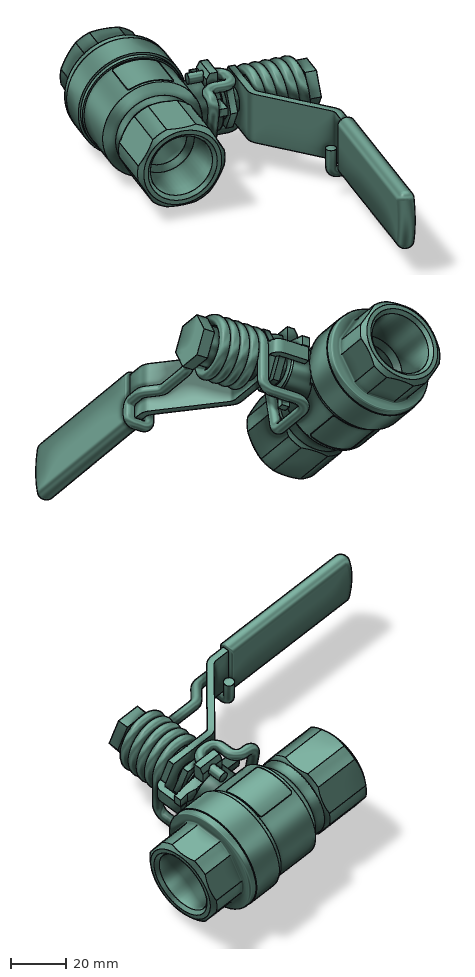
import cadquery as cq
import math


LENGTH = 150.0
HEIGHT = 88.0
FLANGE_DIA = 42.0

LEFT_END = -40.0
RIGHT_END = 40.5
FLANGE_LEFT = -25.0
RIM_END = -22.2
FLANGE_RIGHT = -10.2
COLLAR_END = -8.4
CONE_START = 10.2
CONE_END = 13.8
RIGHT_HEX_START = 18.6

RIM_DIA = 41.7
RIM_STEP = 0.3
RIM_FILLET = 0.9
COLLAR_DIA = 40.2
BODY_DIA = 38.8
NECK_DIA = 31.5

HEX_FLATS = 32.1
HEX_CORNER_DIA = 34.0
HEX_END_DIA = 30.3
HEX_CHAMFER = 1.5
HEX_ROOT_FILLET = 0.9

BORE_DIA = 20.0
THREAD_DIA = 24.2
THREAD_DEPTH = 19.5
MOUTH_DIA = 26.8

PAD_LEFT = -7.6
PAD_RIGHT = 9.0
PAD_WIDTH = 18.0
PAD_DIA = 39.3
PAD_CORNER = 1.0

BOSS_DIA = 20.0
BOSS_TOP = 28.2
BOSS_CHAMFER = 0.6
BOSS_ROOT_FILLET = 0.9
GLAND_DIA = 12.8
GLAND_NUT_BOTTOM = 30.6
GLAND_NUT_TOP = 33.3
STEM_DIA = 9.5
SLEEVE_DIA = 15.0
HEAD_BOTTOM = 61.4
HEAD_TOP = 65.8
NUT_FLATS = 17.0

STOP_TOP = 27.3
STOP_BOTTOM = 23.0
STOP_TIP_BOTTOM = 24.2
STOP_REACH = 15.3
STOP_TAPER_START = 8.2
STOP_TAPER_END = 11.7
STOP_TIP_CHAMFER = 1.6
STOP_LEFT_EDGE = 6.6
STOP_RIGHT_EDGE = 6.0
STOP_ROOT_EDGE = 8.8
LUG_WIDTH = 10.0
LUG_REACH = 15.6
LUG_BEVEL_REACH = 2.2
LUG_BEVEL_HEIGHT = 1.4
BACK_LUG_WIDTH = 3.0
WIRE_HOLE_DIA = 4.2

PLATE_THICKNESS = 2.7
PLATE_WIDTH = 20.1
PLATE_BOTTOM = 36.0
TAB_BEND = 2.7
RAMP_BEND = 4.5
TAB_OUTSIDE = -14.8
TAB_WIDTH = 5.7
TAB_END = 24.3
SHOULDER_START = -11.0
SHOULDER_END = -6.9
RAMP_START = 14.1
GRIP_AXIS = 61.2
GRIP_LEFT = 46.0
GRIP_RIGHT = LEFT_END + LENGTH
GRIP_WIDTH = 23.4
GRIP_THICKNESS = 6.6
GRIP_EDGE = 3.2
GRIP_BULGE = 2.0
GRIP_MOUTH_FILLET = 0.9

WIRE_DIA = 4.0
COIL_RADIUS = 10.0
COIL_BOTTOM = 40.8
COIL_TOP = 59.2
COIL_TURNS = 4.5
WIRE_BEND = 4.0
LEAD_BEND = 6.8
WRAP_BEND = 2.5
LEAD_DEPTH = -17.1
LEAD_BOTTOM = 20.4
LEAD_CORNER_X = 13.5
LATCH_FAR_X = 19.8
LATCH_X = 9.8
LATCH_Z = 12.2
LATCH_TOP = 31.6
LATCH_END = 17.4
JOG_START = 28.8
WRAP_X = 43.0
WRAP_Z = -12.2
WRAP_BOTTOM = 56.7
WRAP_END_Z = -2.1

SHORTEST_EDGE = 0.002


def cylinder_x(x_start, x_end, dia):
    return cq.Workplane("YZ").workplane(offset=x_start).circle(dia / 2).extrude(x_end - x_start)


def at_height(y):
    """Workplane across the stem, facing +Y."""
    return cq.Workplane("XZ", origin=(0, y, 0)).transformed(rotate=(180, 0, 0))


def cylinder_y(y_start, y_end, dia):
    return at_height(y_start).circle(dia / 2).extrude(y_end - y_start)


def across_corners(flats):
    return flats / math.cos(math.pi / 6)


def hexagon_y(y_start, y_end, flats):
    return at_height(y_start).polygon(6, across_corners(flats)).extrude(y_end - y_start)


def rounded_path(points, radii):
    """Wire through the points, with each inner corner rounded by its radius."""
    corners = [cq.Vector(*point) for point in points]
    edges = []
    start = corners[0]
    for before, corner, after, radius in zip(corners, corners[1:], corners[2:], radii):
        back = (before - corner).normalized()
        ahead = (after - corner).normalized()
        half_angle = back.getAngle(ahead) / 2
        setback = radius / math.tan(half_angle)
        middle_gap = radius / math.sin(half_angle) - radius
        arc_start = corner + back * setback
        arc_middle = corner + (back + ahead).normalized() * middle_gap
        arc_end = corner + ahead * setback
        if (arc_start - start).Length > SHORTEST_EDGE:
            edges.append(cq.Edge.makeLine(start, arc_start))
        edges.append(cq.Edge.makeThreePointArc(arc_start, arc_middle, arc_end))
        start = arc_end
    edges.append(cq.Edge.makeLine(start, corners[-1]))
    return cq.Wire.assembleEdges(edges)


def wrench_hex(x_start, x_end, chamfer_start, chamfer_end):
    """Hexagon with its corners turned round and its ends chamfered where asked."""
    hexagon = (
        cq.Workplane("YZ")
        .workplane(offset=x_start)
        .polygon(6, across_corners(HEX_FLATS))
        .extrude(x_end - x_start)
    )
    outer = HEX_CORNER_DIA / 2
    end = HEX_END_DIA / 2
    outline = [(x_start, 0)]
    if chamfer_start:
        outline += [(x_start, end), (x_start + HEX_CHAMFER, outer)]
    else:
        outline += [(x_start, outer)]
    if chamfer_end:
        outline += [(x_end - HEX_CHAMFER, outer), (x_end, end)]
    else:
        outline += [(x_end, outer)]
    outline += [(x_end, 0)]
    turned = cq.Workplane("XY").polyline(outline).close().revolve(360, (0, 0, 0), (1, 0, 0))
    return hexagon.intersect(turned)


def body_barrel():
    """Turned middle of the body, from the flange to the neck."""
    flange_r = FLANGE_DIA / 2
    rim_r = RIM_DIA / 2
    collar_r = COLLAR_DIA / 2
    body_r = BODY_DIA / 2
    neck_r = NECK_DIA / 2
    barrel = (
        cq.Workplane("XY")
        .polyline([
            (FLANGE_LEFT, 0),
            (FLANGE_LEFT, rim_r),
            (RIM_END, rim_r),
            (RIM_END + RIM_STEP, flange_r),
            (FLANGE_RIGHT, flange_r),
            (FLANGE_RIGHT, collar_r),
            (COLLAR_END, collar_r),
            (COLLAR_END, body_r),
            (CONE_START, body_r),
            (CONE_END, neck_r),
            (RIGHT_HEX_START, neck_r),
            (RIGHT_HEX_START, 0),
        ])
        .close()
        .revolve(360, (0, 0, 0), (1, 0, 0))
    )
    return barrel.faces("<X").edges().fillet(RIM_FILLET)


def marking_pads():
    """Slightly raised curved pads, where a column along Z meets a wider cylinder."""
    length = PAD_RIGHT - PAD_LEFT
    column = (
        cq.Workplane("XY")
        .center(PAD_LEFT + length / 2, 0)
        .rect(length, PAD_WIDTH)
        .extrude(PAD_DIA, both=True)
        .edges("|Z")
        .fillet(PAD_CORNER)
    )
    return column.intersect(cylinder_x(PAD_LEFT, PAD_RIGHT, PAD_DIA))


def bore():
    """Straight bore with a wider threaded stretch and a countersunk mouth at each end."""
    mouth_r = MOUTH_DIA / 2
    thread_r = THREAD_DIA / 2
    bore_r = BORE_DIA / 2
    mouth_depth = mouth_r - thread_r
    cone_depth = thread_r - bore_r
    return (
        cq.Workplane("XY")
        .polyline([
            (LEFT_END, 0),
            (LEFT_END, mouth_r),
            (LEFT_END + mouth_depth, thread_r),
            (LEFT_END + THREAD_DEPTH, thread_r),
            (LEFT_END + THREAD_DEPTH + cone_depth, bore_r),
            (RIGHT_END - THREAD_DEPTH - cone_depth, bore_r),
            (RIGHT_END - THREAD_DEPTH, thread_r),
            (RIGHT_END - mouth_depth, thread_r),
            (RIGHT_END, mouth_r),
            (RIGHT_END, 0),
        ])
        .close()
        .revolve(360, (0, 0, 0), (1, 0, 0))
    )


def filleted_barrel():
    """Barrel with the left hexagon and the stem boss, filleted where each one meets it."""
    hex_r = HEX_CORNER_DIA / 2
    boss_r = BOSS_DIA / 2
    margin = 0.2
    hex_root = cq.selectors.BoxSelector(
        (FLANGE_LEFT - margin, -hex_r, -hex_r),
        (FLANGE_LEFT + margin, hex_r, hex_r),
    )
    boss_root = cq.selectors.BoxSelector(
        (COLLAR_END, 0, -boss_r - margin),
        (boss_r + margin, BODY_DIA / 2, boss_r + margin),
        boundingbox=True,
    )
    left_hex = wrench_hex(LEFT_END, FLANGE_LEFT, True, False)
    boss = cylinder_y(0, BOSS_TOP, BOSS_DIA).faces(">Y").edges().chamfer(BOSS_CHAMFER)
    with_hex = body_barrel().union(left_hex).edges(hex_root).fillet(HEX_ROOT_FILLET)
    return with_hex.union(boss).edges(boss_root).fillet(BOSS_ROOT_FILLET)


def valve_body():
    right_hex = wrench_hex(RIGHT_HEX_START, RIGHT_END, True, True)
    return filleted_barrel().union(right_hex).union(marking_pads()).cut(bore())


def stem():
    gland = cylinder_y(BOSS_TOP, GLAND_NUT_BOTTOM, GLAND_DIA)
    gland_nut = hexagon_y(GLAND_NUT_BOTTOM, GLAND_NUT_TOP, NUT_FLATS)
    shaft = cylinder_y(GLAND_NUT_TOP, PLATE_BOTTOM, STEM_DIA)
    sleeve = cylinder_y(PLATE_BOTTOM, HEAD_BOTTOM, SLEEVE_DIA)
    head = hexagon_y(HEAD_BOTTOM, HEAD_TOP, NUT_FLATS)
    return gland.union(gland_nut).union(shaft).union(sleeve).union(head)


def stop_bar():
    """Bar along X beside the tab, tapered below at its left end and slanted towards the lug."""
    side = (
        cq.Workplane("XY")
        .polyline([
            (-STOP_REACH, STOP_TOP),
            (-STOP_REACH, STOP_TIP_BOTTOM),
            (-STOP_TAPER_END, STOP_TIP_BOTTOM),
            (-STOP_TAPER_START, STOP_BOTTOM),
            (STOP_REACH - STOP_TIP_CHAMFER, STOP_BOTTOM),
            (STOP_REACH, STOP_TIP_BOTTOM),
            (STOP_REACH, STOP_TOP),
        ])
        .close()
        .extrude(STOP_ROOT_EDGE)
    )
    half_tab = TAB_WIDTH / 2
    half_lug = LUG_WIDTH / 2
    plan = (
        cq.Workplane("XZ")
        .polyline([
            (-STOP_REACH, half_tab),
            (-STOP_REACH, STOP_LEFT_EDGE),
            (-half_lug, STOP_ROOT_EDGE),
            (half_lug, STOP_ROOT_EDGE),
            (half_lug, STOP_RIGHT_EDGE),
            (STOP_REACH, STOP_RIGHT_EDGE),
            (STOP_REACH, half_tab),
        ])
        .close()
        .extrude(-STOP_TOP)
    )
    return side.intersect(plan)


def front_lug():
    """Lug on the +Z side, bevelled below its tip and drilled for the spring wire."""
    lug = (
        cq.Workplane("YZ")
        .polyline([
            (STOP_BOTTOM, 0),
            (STOP_BOTTOM, LUG_REACH - LUG_BEVEL_REACH),
            (STOP_BOTTOM + LUG_BEVEL_HEIGHT, LUG_REACH),
            (STOP_TOP, LUG_REACH),
            (STOP_TOP, 0),
        ])
        .close()
        .extrude(LUG_WIDTH / 2, both=True)
    )
    wire_hole = cylinder_y(LATCH_END, LATCH_TOP, WIRE_HOLE_DIA).translate((0, 0, LATCH_Z))
    return lug.cut(wire_hole)


def back_lug():
    """Narrow, thinner lug on the -Z side."""
    thickness = STOP_TOP - STOP_TIP_BOTTOM
    lug = cq.Workplane("XY").box(BACK_LUG_WIDTH, thickness, LUG_REACH, centered=(True, False, False))
    return lug.translate((0, STOP_TIP_BOTTOM, -LUG_REACH))


def handle_plate():
    """Bent strip with a narrow tab at the left, widening over sloped shoulders."""
    tab_x = TAB_OUTSIDE + PLATE_THICKNESS / 2
    plate_y = PLATE_BOTTOM + PLATE_THICKNESS / 2
    ramp_end = RAMP_START + GRIP_AXIS - plate_y
    path = rounded_path(
        [
            (tab_x, TAB_END, 0),
            (tab_x, plate_y, 0),
            (RAMP_START, plate_y, 0),
            (ramp_end, GRIP_AXIS, 0),
            (GRIP_LEFT + GRIP_THICKNESS, GRIP_AXIS, 0),
        ],
        [TAB_BEND, RAMP_BEND, RAMP_BEND],
    )
    strip = (
        cq.Workplane("XZ", origin=(tab_x, TAB_END, 0))
        .rect(PLATE_THICKNESS, PLATE_WIDTH)
        .sweep(cq.Workplane(path))
    )
    half_tab = TAB_WIDTH / 2
    half_width = PLATE_WIDTH / 2
    plan = (
        at_height(0)
        .polyline([
            (TAB_OUTSIDE, -half_tab),
            (SHOULDER_START, -half_tab),
            (SHOULDER_END, -half_width),
            (GRIP_RIGHT, -half_width),
            (GRIP_RIGHT, half_width),
            (SHOULDER_END, half_width),
            (SHOULDER_START, half_tab),
            (TAB_OUTSIDE, half_tab),
        ])
        .close()
        .extrude(HEIGHT)
    )
    return strip.intersect(plan)


def handle_grip():
    """Flat sleeve with rounded long edges and a bulged, rounded end."""
    half_width = GRIP_WIDTH / 2
    corner_x = GRIP_RIGHT - GRIP_BULGE
    outline = (
        at_height(GRIP_AXIS - GRIP_THICKNESS / 2)
        .moveTo(GRIP_LEFT, -half_width)
        .lineTo(corner_x, -half_width)
        .threePointArc((GRIP_RIGHT, 0), (corner_x, half_width))
        .lineTo(GRIP_LEFT, half_width)
        .close()
        .extrude(GRIP_THICKNESS)
    )
    rounded_end = outline.edges("|Y").edges(">X").fillet(GRIP_EDGE)
    rounded = rounded_end.edges("(<Y or >Y) and (not <X)").fillet(GRIP_EDGE)
    return rounded.faces("<X").edges().fillet(GRIP_MOUTH_FILLET)


def valve():
    """Body, stem, stops and handle as one solid."""
    stops = stop_bar().union(front_lug()).union(back_lug())
    handle = handle_plate().union(handle_grip())
    return valve_body().union(stops).union(stem()).union(handle)


def round_wire(points, radii):
    """Round wire bent along the points; its first stretch runs along -Z."""
    return (
        cq.Workplane("XY", origin=points[0])
        .circle(WIRE_DIA / 2)
        .sweep(cq.Workplane(rounded_path(points, radii)))
    )


def coil():
    """Right-handed coil around the stem, from its -X side up to its +X side."""
    rise = COIL_TOP - COIL_BOTTOM
    helix = cq.Wire.makeHelix(rise / COIL_TURNS, rise, COIL_RADIUS)
    upright = (
        cq.Workplane("XZ", origin=(COIL_RADIUS, 0, 0))
        .circle(WIRE_DIA / 2)
        .sweep(cq.Workplane(helix), isFrenet=True)
    )
    along_y = upright.rotate((0, 0, 0), (1, 0, 0), -90)
    return along_y.rotate((0, 0, 0), (0, 1, 0), 180).translate((0, COIL_BOTTOM, 0))


def latch_lead():
    """Lower end of the spring: round the neck, then hooked down into the lug hole."""
    points = [
        (-COIL_RADIUS, COIL_BOTTOM, 0),
        (-COIL_RADIUS, COIL_BOTTOM, LEAD_DEPTH),
        (-COIL_RADIUS, LEAD_BOTTOM, LEAD_DEPTH),
        (LEAD_CORNER_X, LEAD_BOTTOM, LEAD_DEPTH),
        (LATCH_FAR_X, LEAD_BOTTOM, LATCH_Z),
        (LATCH_X, LEAD_BOTTOM, LATCH_Z),
        (LATCH_X, LATCH_TOP, LATCH_Z),
        (0, LATCH_TOP, LATCH_Z),
        (0, LATCH_END, LATCH_Z),
    ]
    return round_wire(points, [WIRE_BEND, LEAD_BEND] + [WIRE_BEND] * 5)


def handle_tail():
    """Upper end of the spring: along the handle, then wrapped round its edge."""
    tail_z = -WIRE_BEND
    wrap_top = HEIGHT - FLANGE_DIA / 2 - WIRE_DIA / 2
    jog_end = JOG_START + wrap_top - COIL_TOP
    points = [
        (COIL_RADIUS, COIL_TOP, 0),
        (COIL_RADIUS, COIL_TOP, tail_z),
        (JOG_START, COIL_TOP, tail_z),
        (jog_end, wrap_top, tail_z),
        (WRAP_X, wrap_top, tail_z),
        (WRAP_X, wrap_top, WRAP_Z),
        (WRAP_X, WRAP_BOTTOM, WRAP_Z),
        (WRAP_X, WRAP_BOTTOM, WRAP_END_Z),
    ]
    return round_wire(points, [WIRE_BEND] * 3 + [WRAP_BEND] * 3)


def spring():
    return coil().union(latch_lead()).union(handle_tail())


valve_solid = valve()
spring_solid = spring()

result = cq.Compound.makeCompound([valve_solid.solids().val(), spring_solid.solids().val()])